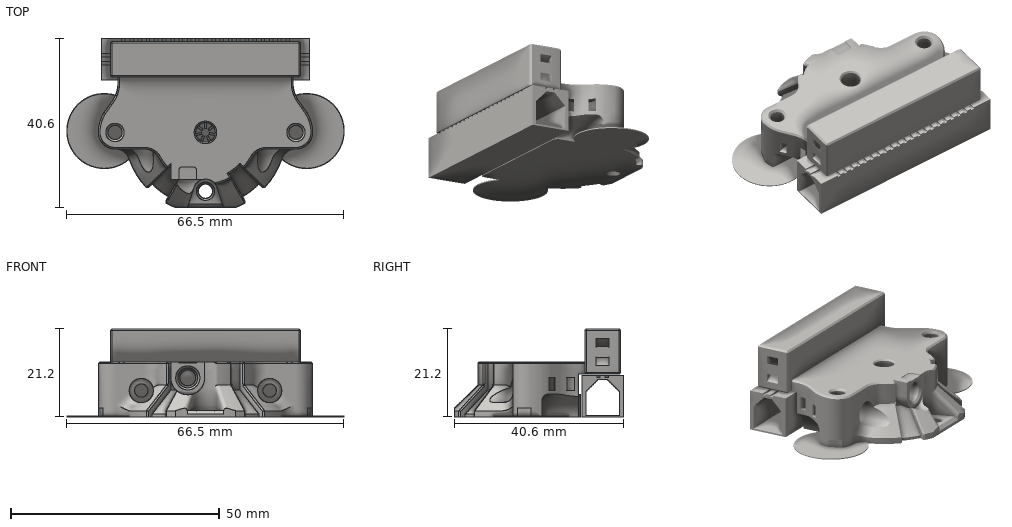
import cadquery as cq
import math

HOUSING_HEIGHT = 13.2
TOTAL_HEIGHT = 21.18
TOP_CHAMFER = 0.4

EAR_X = 21.7
EAR_RADIUS = 4.0
EAR_SIDE_X = EAR_X + EAR_RADIUS
NECK_X = 21.0
BACK_Y = 11.8
SIDE_ANGLE = 34.5
SIDE_BLEND_RADIUS = 8.86
NECK_BLEND_RADIUS = 7.33
BODY_RADIUS = 12.7
BODY_BLEND_RADIUS = 3.9
RECESS_RADIUS = 11.5
RECESS_START = 44.0
RECESS_END = 60.0
RECESS_BEVEL = 0.35

SKIRT_RADIUS = 19.4
SKIRT_RIM = 1.5
SKIRT_INNER_RADIUS = 10.5
SKIRT_TOP = 12.4
SKIRT_SLOPE = 0.925
SKIRT_BLEND = 3.3
LOW_SKIRT_RADIUS = 17.8
LOW_SKIRT_RIM = 0.7
FOOT_Y = -18.0
FOOT_CHAMFER = 0.8
FOOT_FLOOR = 1.55

SCREW_Y = -14.1
SCREW_HOLE = 3.4
SCREW_COUNTERSINK = 4.4
SCREW_CLEARANCE = 5.8
SCREW_POCKET_FRONT = 8.6
POCKET_EDGE_ROUND = 0.9

BOSS_X = -4.25
BOSS_Z = 9.4
BOSS_RADIUS = 4.05
BOSS_FACE_Y = -11.3
BOSS_BACK_Y = -6.0
SOCKET_DIAMETER = 4.8
SOCKET_MOUTH = 5.8
SOCKET_FLOOR = 3.8
SOCKET_DEPTH = 8.0
INLAY_WIDTH = 4.3
INLAY_LENGTH = 3.0
INLAY_DEPTH = 0.2
INLAY_CORNER = 0.5

SIDE_PORT_X = 15.4
SIDE_PORT_Z = 6.36
SIDE_PORT_CLEARANCE = 5.8
SIDE_PORT_BORE = 3.2
SIDE_PORT_RECESS = 4.0
SIDE_PORT_DEPTH = 8.0

EAR_BORE = 3.4
EAR_BORE_MOUTH = 4.4
CENTRE_BORE = 4.7
CENTRE_BORE_MOUTH = 5.4
CENTRE_BORE_DEPTH = 8.0
RIB_COUNT = 7
RIB_WIDTH = 0.5
RIB_HEIGHT = 1.0
RIB_INNER_RADIUS = 0.95

BAR_LENGTH = 45.6
BAR_WIDTH = 8.6
BAR_BOTTOM = 10.3
BAR_CHAMFER = 0.4

TIE_WIDTH = 3.1
TIE_INNER_RADIUS = 1.75
TIE_OUTER_RADIUS = 3.45
BAR_TIE_OFFSET = 1.1
BAR_TIE_Z = 15.6
SIDE_TIE_X = 22.5
SIDE_TIE_Y = 7.6
SIDE_TIE_Z = 7.9

ARCH_DIAMETER = 11.09
ARCH_X = 23.5
ARCH_FRONT_Y = 3.0
ARCH_BLEND = 1.6
LIP_HALF_LENGTH = 17.0
LIP_DEPTH = 0.4
LIP_HEIGHT = 5.4

FLAT_ANGLE = 20.0
FLAT_HALF_ANGLE = 25.0
FLAT_HEIGHT = 2.2

DISC_DIAMETER = 18.0
DISC_X = 24.265
DISC_Y = 0.33
DISC_THICKNESS = 0.25

CHANNEL_LENGTH = 50.0
CHANNEL_SIZE = 10.0
CHANNEL_Y = 17.56
CHANNEL_WALL = 1.0
CHANNEL_FLOOR = 0.4
CHANNEL_BEVEL = 2.9
GROOVE_WIDTH = 0.82
GROOVE_DEPTH = 0.45
GROOVE_PITCH = 1.97
BACK_GROOVE_COUNT = 21
BACK_GROOVE_LENGTH = 3.0
END_GROOVE_PITCH = 2.0
END_GROOVE_LENGTH = 5.0

SIDES = (-1, 1)
MARGIN = 0.1
BAR_FRONT_Y = CHANNEL_Y - BAR_WIDTH / 2


def box(x0, x1, y0, y1, z0, z1):
    """Axis-aligned block between two opposite corners."""
    return cq.Workplane("XY").box(x1 - x0, y1 - y0, z1 - z0, centered=False).translate((x0, y0, z0))


def rod(diameter, x, z, y_front, y_back):
    """Cylinder along Y."""
    plane = cq.Workplane("XZ", origin=(x, y_back, z))
    return plane.circle(diameter / 2).extrude(y_back - y_front)


def post(diameter, x, y, z0, z1):
    """Cylinder along Z."""
    return cq.Workplane("XY", origin=(x, y, z0)).circle(diameter / 2).extrude(z1 - z0)


def on_circle(radius, degrees):
    """Point at an angle measured down from +X."""
    angle = math.radians(degrees)
    return (radius * math.cos(angle), -radius * math.sin(angle))


def flip(point):
    return (-point[0], point[1])


def side_outline():
    """Right half of the plan as (end point, arc midpoint or None), from the neck round to the front."""
    turn = math.radians(SIDE_ANGLE)
    half_turn = turn / 2

    neck_centre_x = NECK_X + NECK_BLEND_RADIUS
    neck_mid = (neck_centre_x - NECK_BLEND_RADIUS * math.cos(half_turn),
                BACK_Y - NECK_BLEND_RADIUS * math.sin(half_turn))
    neck_end = (neck_centre_x - NECK_BLEND_RADIUS * math.cos(turn),
                BACK_Y - NECK_BLEND_RADIUS * math.sin(turn))

    side_centre_x = EAR_SIDE_X - SIDE_BLEND_RADIUS
    side_start = (side_centre_x + SIDE_BLEND_RADIUS * math.cos(turn), SIDE_BLEND_RADIUS * math.sin(turn))
    side_mid = (side_centre_x + SIDE_BLEND_RADIUS * math.cos(half_turn),
                SIDE_BLEND_RADIUS * math.sin(half_turn))

    ear_corner = EAR_RADIUS * math.sqrt(0.5)
    blend_y = -EAR_RADIUS - BODY_BLEND_RADIUS
    blend_x = math.sqrt((BODY_RADIUS + BODY_BLEND_RADIUS) ** 2 - blend_y ** 2)
    body_angle = math.degrees(math.atan2(-blend_y, blend_x))
    blend_mid_angle = math.radians((90 + 180 - body_angle) / 2)
    blend_mid = (blend_x + BODY_BLEND_RADIUS * math.cos(blend_mid_angle),
                 blend_y + BODY_BLEND_RADIUS * math.sin(blend_mid_angle))

    bevel_turn = math.degrees(RECESS_BEVEL / BODY_RADIUS)
    bevel_radius = BODY_RADIUS - RECESS_BEVEL
    upper_corner = RECESS_START - bevel_turn

    return [
        ((NECK_X, BACK_Y), None),
        (neck_end, neck_mid),
        (side_start, None),
        ((EAR_SIDE_X, 0), side_mid),
        ((EAR_X, -EAR_RADIUS), (EAR_X + ear_corner, -ear_corner)),
        ((blend_x, -EAR_RADIUS), None),
        (on_circle(BODY_RADIUS, body_angle), blend_mid),
        (on_circle(BODY_RADIUS, upper_corner), on_circle(BODY_RADIUS, (body_angle + upper_corner) / 2)),
        (on_circle(bevel_radius, RECESS_START), None),
        (on_circle(RECESS_RADIUS, RECESS_START), None),
        (on_circle(RECESS_RADIUS, RECESS_END), on_circle(RECESS_RADIUS, (RECESS_START + RECESS_END) / 2)),
        (on_circle(bevel_radius, RECESS_END), None),
        (on_circle(BODY_RADIUS, RECESS_END + bevel_turn), None),
    ]


def add_segment(sketch, end, middle):
    if middle is None:
        return sketch.lineTo(*end)
    return sketch.threePointArc(middle, end)


def make_core():
    """Full-height plate with ears and a round front, bevelled round its top."""
    steps = side_outline()
    sketch = cq.Workplane("XY").moveTo(NECK_X, CHANNEL_Y)
    for end, middle in steps:
        sketch = add_segment(sketch, end, middle)
    sketch = sketch.threePointArc((0, -BODY_RADIUS), flip(steps[-1][0]))
    for index in range(len(steps) - 1, 0, -1):
        middle = steps[index][1]
        sketch = add_segment(sketch, flip(steps[index - 1][0]), middle and flip(middle))
    sketch = sketch.lineTo(-NECK_X, CHANNEL_Y).close()
    core = sketch.extrude(HOUSING_HEIGHT).faces(">Z").edges("not >Y").chamfer(TOP_CHAMFER)
    return core.cut(box(-EAR_SIDE_X, EAR_SIDE_X, BACK_Y, CHANNEL_Y, 0, BAR_BOTTOM))


def cone_skirt(radius, rim):
    """Front half of a cone that rises inward from a short vertical rim."""
    peak = rim + radius * SKIRT_SLOPE
    profile = cq.Workplane("XZ").polyline([(0, 0), (radius, 0), (radius, rim), (0, peak)]).close()
    cone = profile.revolve(360, (0, 0, 0), (0, 1, 0))
    front = box(-radius, radius, -radius, -EAR_RADIUS, 0, SKIRT_TOP)
    hub = post(2 * SKIRT_INNER_RADIUS, 0, 0, 0, HOUSING_HEIGHT)
    return cone.intersect(front).cut(hub)


def recess_sector(side):
    """Wedge above the lowered part of the skirt, between two radial walls."""
    reach = 1.2 * SKIRT_RADIUS
    corners = [
        on_circle(SKIRT_INNER_RADIUS, RECESS_START),
        on_circle(reach, RECESS_START),
        on_circle(reach, RECESS_END),
        on_circle(SKIRT_INNER_RADIUS, RECESS_END),
    ]
    wedge = cq.Workplane("XY").polyline([(side * x, y) for x, y in corners]).close()
    return wedge.extrude(HOUSING_HEIGHT)


def near(point_a, point_b):
    """Selector for the edges whose middle lies in the block between two opposite corners."""
    low = [min(a, b) for a, b in zip(point_a, point_b)]
    high = [max(a, b) for a, b in zip(point_a, point_b)]
    return cq.selectors.BoxSelector(tuple(low), tuple(high))


def ear_blend(side):
    """Outer end of the skirt, rounded into the front wall of the ear."""
    skirt = cone_skirt(SKIRT_RADIUS, SKIRT_RIM)
    wall_end = side * (EAR_SIDE_X + SKIRT_BLEND)
    x0, x1 = sorted((0, wall_end))
    wall = box(x0, x1, -EAR_RADIUS, 0, 0, HOUSING_HEIGHT)
    joint = near((side * RECESS_RADIUS, -EAR_RADIUS - MARGIN, MARGIN),
                 (side * SKIRT_RADIUS, -EAR_RADIUS + MARGIN, BAR_BOTTOM))
    blended = skirt.union(wall).edges(joint).fillet(SKIRT_BLEND)
    x0, x1 = sorted((side * SIDE_PORT_X, wall_end))
    outer_end = box(x0, x1, -SKIRT_RADIUS, -EAR_RADIUS, 0, HOUSING_HEIGHT)
    return blended.intersect(outer_end).cut(skirt)


def crest_bevel(side, angle):
    """Square rods set on edge along the crest and the rim of a radial wall of the skirt."""
    x, y = on_circle(SKIRT_RADIUS, angle)
    rim_point = cq.Vector(side * x, y, SKIRT_RIM)
    uphill = cq.Vector(-side * x, -y, SKIRT_RADIUS * SKIRT_SLOPE)
    across = cq.Vector(-y, side * x, 0)
    crest_length = uphill.Length * (1 - BODY_RADIUS / SKIRT_RADIUS)
    width = RECESS_BEVEL * math.sqrt(2)
    on_edge = cq.Vector(0, 0, 45)
    crest_plane = cq.Plane(rim_point - uphill * MARGIN, across, uphill).rotated(on_edge)
    rim_plane = cq.Plane((rim_point.x, rim_point.y, 0), across, (0, 0, 1)).rotated(on_edge)
    crest = cq.Workplane(crest_plane).rect(width, width).extrude(crest_length + uphill.Length * MARGIN)
    rim = cq.Workplane(rim_plane).rect(width, width).extrude(SKIRT_RIM)
    return crest.union(rim)


def make_skirt():
    """Skirt with its two lowered sectors."""
    skirt = cone_skirt(SKIRT_RADIUS, SKIRT_RIM)
    low_skirt = cone_skirt(LOW_SKIRT_RADIUS, LOW_SKIRT_RIM)
    for side in SIDES:
        skirt = skirt.cut(recess_sector(side).cut(low_skirt))
    return skirt


def boss_shape(y_front, y_back, top):
    """Upright slab with a round bottom, used for the boss and for the clearance before it."""
    upper = box(BOSS_X - BOSS_RADIUS, BOSS_X + BOSS_RADIUS, y_front, y_back, BOSS_Z, top)
    lower = rod(2 * BOSS_RADIUS, BOSS_X, BOSS_Z, y_front, y_back)
    below_top = box(-SKIRT_RADIUS, SKIRT_RADIUS, y_front, y_back, 0, top)
    return upper.union(lower.intersect(below_top))


def screw_pocket():
    """Flared pocket over the front screw, its sides tangent to a round end, open to the front."""
    radius = SCREW_CLEARANCE / 2
    half_front = SCREW_POCKET_FRONT / 2
    length = SCREW_Y - FOOT_Y
    turn = math.acos(radius / math.hypot(half_front, length)) - math.atan2(length, half_front)
    tangent_x = radius * math.cos(turn)
    tangent_y = SCREW_Y + radius * math.sin(turn)
    return (cq.Workplane("XY", origin=(0, 0, FOOT_FLOOR))
            .moveTo(-tangent_x, tangent_y)
            .threePointArc((0, SCREW_Y + radius), (tangent_x, tangent_y))
            .lineTo(half_front, FOOT_Y).lineTo(-half_front, FOOT_Y).close()
            .extrude(HOUSING_HEIGHT))


def pocket_rim(side):
    """Selects the edge of the screw pocket along one side of the skirt and up the body."""
    inner_x = side * SCREW_CLEARANCE / 4
    outer_x = side * SCREW_POCKET_FRONT / 2
    body_edge_y = -math.sqrt(BODY_RADIUS ** 2 - (SCREW_CLEARANCE / 2) ** 2)
    skirt_edges = near((inner_x, FOOT_Y + FOOT_CHAMFER / 2, 2 * FOOT_FLOOR),
                       (outer_x, body_edge_y, HOUSING_HEIGHT))
    body_edge = near((inner_x, body_edge_y - FOOT_CHAMFER / 2, BOSS_Z),
                     (outer_x, body_edge_y + FOOT_CHAMFER / 2, HOUSING_HEIGHT - 2 * TOP_CHAMFER))
    return skirt_edges - cq.selectors.ParallelDirSelector(cq.Vector(0, 0, 1)) + body_edge


def drilled(diameter, mouth, depth):
    """Bore running down from the origin, with a 45 degree bevel at its mouth."""
    bevel = (mouth - diameter) / 2
    profile = [(0, 0), (mouth / 2, 0), (diameter / 2, -bevel), (diameter / 2, -depth), (0, -depth)]
    return cq.Workplane("XZ").polyline(profile).close().revolve(360, (0, 0, 0), (0, 1, 0))


def cut_foot(body):
    """Straight front of the foot, the screw pocket with rounded edges, and the screw hole."""
    body = body.cut(box(-SKIRT_RADIUS, SKIRT_RADIUS, -SKIRT_RADIUS, FOOT_Y, 0, HOUSING_HEIGHT))
    body = body.cut(screw_pocket())
    for side in SIDES:
        body = body.edges(pocket_rim(side)).fillet(POCKET_EDGE_ROUND)
    bevel_back = FOOT_Y + FOOT_CHAMFER
    slope = (cq.Workplane("YZ", origin=(-SCREW_POCKET_FRONT / 2, 0, 0))
             .polyline([(FOOT_Y, FOOT_FLOOR - FOOT_CHAMFER), (bevel_back, FOOT_FLOOR), (FOOT_Y, FOOT_FLOOR)])
             .close().extrude(SCREW_POCKET_FRONT))
    body = body.cut(slope)
    screw_hole = drilled(SCREW_HOLE, SCREW_COUNTERSINK, HOUSING_HEIGHT)
    return body.cut(screw_hole.translate((0, SCREW_Y, FOOT_FLOOR)))


def add_port(body):
    """Boss standing behind its clearance, the socket in it and the shallow inlay on top of it."""
    body = body.cut(boss_shape(FOOT_Y, BOSS_FACE_Y, TOTAL_HEIGHT))
    body = body.union(boss_shape(BOSS_FACE_Y, BOSS_BACK_Y, HOUSING_HEIGHT))
    mouth_bevel = (SOCKET_MOUTH - SOCKET_DIAMETER) / 2
    floor_bevel = (SOCKET_DIAMETER - SOCKET_FLOOR) / 2
    profile = [
        (0, 0),
        (SOCKET_MOUTH / 2, 0),
        (SOCKET_DIAMETER / 2, mouth_bevel),
        (SOCKET_DIAMETER / 2, SOCKET_DEPTH - floor_bevel),
        (SOCKET_FLOOR / 2, SOCKET_DEPTH),
        (0, SOCKET_DEPTH),
    ]
    socket = cq.Workplane("XY").polyline(profile).close().revolve(360, (0, 0, 0), (0, 1, 0))
    body = body.cut(socket.translate((BOSS_X, BOSS_FACE_Y, BOSS_Z)))
    inlay = box(BOSS_X - INLAY_WIDTH / 2, BOSS_X + INLAY_WIDTH / 2, BOSS_FACE_Y, BOSS_FACE_Y + INLAY_LENGTH,
                HOUSING_HEIGHT - INLAY_DEPTH, HOUSING_HEIGHT)
    return body.cut(inlay.edges("|Z and >Y").chamfer(INLAY_CORNER))


def tie_ring(plane, origin):
    """Curved passage: a flat ring that crosses a face in two openings."""
    ring = cq.Workplane(plane, origin=origin).circle(TIE_OUTER_RADIUS).circle(TIE_INNER_RADIUS)
    return ring.extrude(TIE_WIDTH / 2, both=True)


def side_arch(side):
    """Hollow with a round roof, open to the back, its front end rounded over."""
    length = BACK_Y + 2 * LIP_DEPTH - ARCH_FRONT_Y
    arch = rod(ARCH_DIAMETER, side * ARCH_X, 0, ARCH_FRONT_Y, ARCH_FRONT_Y + length)
    return arch.faces("<Y").edges().fillet(ARCH_BLEND)


def ear_flat(side):
    """Block that leaves a low flat on the rounded end of an ear."""
    distance = EAR_RADIUS * math.cos(math.radians(FLAT_HALF_ANGLE))
    block = box(distance, 2 * EAR_RADIUS, -EAR_RADIUS, EAR_RADIUS, 0, FLAT_HEIGHT)
    turned = block.rotate((0, 0, 0), (0, 0, 1), -FLAT_ANGLE).translate((EAR_X, 0, 0))
    return turned if side > 0 else turned.mirror("YZ")


def centre_bore():
    """Bore whose floor carries a rosette of radial ribs."""
    bore = drilled(CENTRE_BORE, CENTRE_BORE_MOUTH, CENTRE_BORE_DEPTH)
    for index in range(RIB_COUNT):
        rib = box(RIB_INNER_RADIUS, CENTRE_BORE / 2, -RIB_WIDTH / 2, RIB_WIDTH / 2,
                  -CENTRE_BORE_DEPTH, RIB_HEIGHT - CENTRE_BORE_DEPTH)
        bore = bore.cut(rib.rotate((0, 0, 0), (0, 0, 1), 90 + index * 360 / RIB_COUNT))
    return bore.translate((0, 0, HOUSING_HEIGHT))


def make_bar():
    bar = box(-BAR_LENGTH / 2, BAR_LENGTH / 2, BAR_FRONT_Y, BAR_FRONT_Y + BAR_WIDTH, BAR_BOTTOM, TOTAL_HEIGHT)
    return bar.edges().chamfer(BAR_CHAMFER)


def make_housing():
    body = make_core().union(make_skirt())
    for side in SIDES:
        body = body.union(ear_blend(side))
    body = cut_foot(body)
    for side in SIDES:
        for angle in (RECESS_START, RECESS_END):
            body = body.cut(crest_bevel(side, angle))
    body = add_port(body)
    body = body.union(box(-LIP_HALF_LENGTH, LIP_HALF_LENGTH, BACK_Y, BACK_Y + LIP_DEPTH, 0, LIP_HEIGHT))
    body = body.union(make_bar())
    body = body.cut(centre_bore())
    recess_y = SIDE_PORT_RECESS - EAR_RADIUS
    for side in SIDES:
        port_x = side * SIDE_PORT_X
        body = body.cut(rod(SIDE_PORT_CLEARANCE, port_x, SIDE_PORT_Z, -SKIRT_RADIUS, recess_y))
        body = body.cut(rod(SIDE_PORT_BORE, port_x, SIDE_PORT_Z, recess_y, SIDE_PORT_DEPTH - EAR_RADIUS))
        ear_bore = drilled(EAR_BORE, EAR_BORE_MOUTH, HOUSING_HEIGHT)
        body = body.cut(ear_bore.translate((side * EAR_X, 0, HOUSING_HEIGHT)))
        body = body.cut(side_arch(side))
        body = body.cut(tie_ring("XZ", (side * (BAR_LENGTH / 2 + BAR_TIE_OFFSET), CHANNEL_Y, BAR_TIE_Z)))
        body = body.cut(tie_ring("XY", (side * SIDE_TIE_X, SIDE_TIE_Y, SIDE_TIE_Z)))
        body = body.cut(ear_flat(side))
        body = body.union(post(DISC_DIAMETER, side * DISC_X, DISC_Y, 0, DISC_THICKNESS))
    return body


def make_channel():
    half_length = CHANNEL_LENGTH / 2
    half_size = CHANNEL_SIZE / 2
    back_y = CHANNEL_Y + half_size
    channel = box(-half_length, half_length, CHANNEL_Y - half_size, back_y, 0, CHANNEL_SIZE)

    half_bore = half_size - CHANNEL_WALL
    bore = box(-half_length, half_length, CHANNEL_Y - half_bore, CHANNEL_Y + half_bore,
               CHANNEL_FLOOR, CHANNEL_SIZE - CHANNEL_WALL)
    channel = channel.cut(bore.edges("|X and >Z").chamfer(CHANNEL_BEVEL))

    groove_floor = CHANNEL_SIZE - GROOVE_DEPTH
    for index in range(BACK_GROOVE_COUNT):
        x = (index - (BACK_GROOVE_COUNT - 1) / 2) * GROOVE_PITCH
        channel = channel.cut(box(x - GROOVE_WIDTH / 2, x + GROOVE_WIDTH / 2,
                                  back_y - BACK_GROOVE_LENGTH, back_y, groove_floor, CHANNEL_SIZE))
    for side in SIDES:
        ends = sorted((side * half_length, side * (half_length - END_GROOVE_LENGTH)))
        for offset in (-END_GROOVE_PITCH / 2, END_GROOVE_PITCH / 2):
            y = CHANNEL_Y + offset
            channel = channel.cut(box(*ends, y - GROOVE_WIDTH / 2, y + GROOVE_WIDTH / 2,
                                      groove_floor, CHANNEL_SIZE))
    return channel


housing = make_housing()
channel = make_channel()
result = cq.Compound.makeCompound([housing.val(), channel.val()])